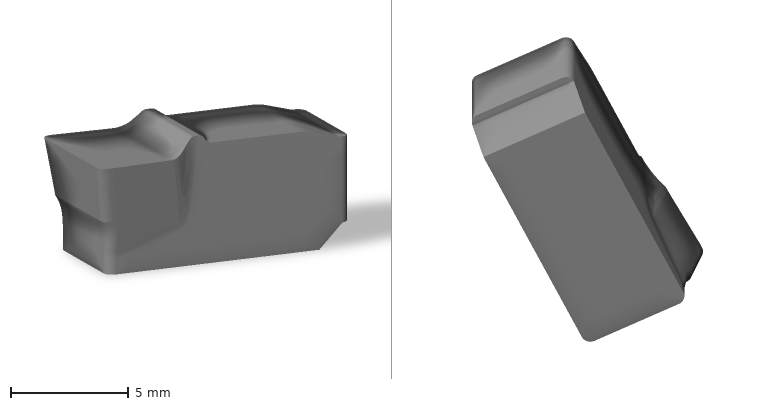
import cadquery as cq
import math


length = 12.0
shank_half_width = 2.41
head_half_width = 3.0
rake_height = 4.89
shank_top_height = 5.32
ridge_height = 5.7
corner_radius = 0.4

rear_foot_height = 1.08
rear_foot_depth = 0.35
rear_flat_depth = 0.51
rear_ramp_angle = math.radians(15.8)
rear_ramp_radius = 2.0
rear_ramp_foot_radius = 0.2

ridge_front = 4.69
ridge_rear = 4.91
ridge_radius = 0.3
ridge_rear_angle = math.radians(62)
ridge_front_angle = math.radians(45)
rake_blend_radius = 1.0

front_relief = math.tan(math.radians(8))
front_setback = 0.615
undercut_start = 1.48
undercut_radius = 1.7
undercut_angle = math.radians(30)
nose_radius = 0.2
upper_front_bottom = 2.1

land_end = 0.605
land_end_shift = 0.125
land_relief = 0.1455
side_taper = math.tan(math.radians(2.5))
shoulder_y = 3.68
shoulder_shift = 0.15
shoulder_slope = math.tan(math.radians(30))
shoulder_radius = 0.6
shank_blend_radius = 1.0

stock_front = -3.0
stock_bottom = -0.5
stock_top = 6.5
stock_height = stock_top - stock_bottom
head_root_half_width = 1.0
half_cut_width = 2 * head_half_width

near = 0.1


def arc(outline, start, radius, from_heading, to_heading):
    """Append a tangent arc and return (outline, end point); a rising heading bends it leftwards."""
    bend = math.copysign(radius, to_heading - from_heading)

    def point_at(heading):
        return (
            start[0] + bend * (math.sin(heading) - math.sin(from_heading)),
            start[1] - bend * (math.cos(heading) - math.cos(from_heading)),
        )

    end = point_at(to_heading)
    middle = point_at((from_heading + to_heading) / 2)
    return outline.threePointArc(middle, end), end


def add_undercut(outline):
    """Concave undercut of the front, carried on as a straight slope to the rake height."""
    start = (front_setback, undercut_start)
    vertical = math.pi / 2
    outline, end = arc(outline.lineTo(*start), start, undercut_radius, vertical, vertical + undercut_angle)
    overhang = (rake_height - end[1]) * math.tan(undercut_angle)
    return outline.lineTo(end[0] - overhang, rake_height)


def add_ridge_front(outline):
    """Rake face, concave blend and slope up to the ridge."""
    angle = ridge_front_angle
    radius_sum = rake_blend_radius + ridge_radius
    slope_rise = ridge_height - rake_height - radius_sum * (1 - math.cos(angle))
    slope_run = slope_rise / math.tan(angle)
    start = (ridge_front - radius_sum * math.sin(angle) - slope_run, rake_height)
    outline, end = arc(outline.lineTo(*start), start, rake_blend_radius, 0, angle)
    slope_end = (end[0] + slope_run, end[1] + slope_rise)
    outline, end = arc(outline.lineTo(*slope_end), slope_end, ridge_radius, angle, 0)
    return outline


def add_ridge_rear(outline):
    """Ridge crest and its steep rear side down to the shank top."""
    angle = ridge_rear_angle
    start = (ridge_rear, ridge_height)
    outline, end = arc(outline.lineTo(*start), start, ridge_radius, 0, -angle)
    slope_drop = ridge_height - shank_top_height - 2 * ridge_radius * (1 - math.cos(angle))
    slope_end = (end[0] + slope_drop / math.tan(angle), end[1] - slope_drop)
    outline, end = arc(outline.lineTo(*slope_end), slope_end, ridge_radius, -angle, 0)
    return outline


def add_rear_end(outline):
    """Shank top, ramp down to the rear flat, rear wall, foot and underside chamfer."""
    angle = rear_ramp_angle
    ramp_end = length - rear_flat_depth
    ramp_start = ramp_end - (shank_top_height - rake_height) / math.tan(angle)
    start = (ramp_start - rear_ramp_radius * math.tan(angle / 2), shank_top_height)
    outline, end = arc(outline.lineTo(*start), start, rear_ramp_radius, 0, -angle)
    foot_tangent = rear_ramp_foot_radius * math.tan(angle / 2)
    foot = (ramp_end - foot_tangent * math.cos(angle), rake_height + foot_tangent * math.sin(angle))
    outline, end = arc(outline.lineTo(*foot), foot, rear_ramp_foot_radius, -angle, 0)
    outline = outline.lineTo(length, rake_height).lineTo(length, rear_foot_height)
    chamfer_start = length - rear_foot_depth
    return outline.lineTo(chamfer_start, rear_foot_height).lineTo(chamfer_start - rear_foot_height, 0)


def side_profile():
    """Solid with the side outline of the insert, wider than the head."""
    outline = cq.Workplane("YZ").moveTo(front_setback, 0)
    for add_stretch in (add_undercut, add_ridge_front, add_ridge_rear, add_rear_end):
        outline = add_stretch(outline)
    return outline.close().extrude(half_cut_width, both=True)


def shoulder_corner(z):
    """Point on the +X side where the tapered flank meets the shoulder at height z."""
    depth = rake_height - z
    land_x = head_half_width - land_relief * depth
    y = shoulder_y + shoulder_shift * depth
    return land_x - side_taper * (y - land_end - land_end_shift * depth), y


def head_section(z):
    """Plan outline of the head at height z: lands, tapered flanks and shoulders."""
    depth = rake_height - z
    land_x = head_half_width - land_relief * depth
    corner_x, corner_y = shoulder_corner(z)
    root_y = corner_y + (corner_x - head_root_half_width) / shoulder_slope
    right_side = [
        (land_x, stock_front),
        (land_x, land_end + land_end_shift * depth),
        (corner_x, corner_y),
        (head_root_half_width, root_y),
    ]
    left_side = [(-x, y) for x, y in reversed(right_side)]
    return cq.Wire.makePolygon([cq.Vector(x, y, z) for x, y in right_side + left_side], close=True)


def fillet_both_sides(body, low, high, radius):
    """Fillet the edges whose midpoints lie in the box low-high, given for +X, and in its mirror image."""
    right_box = cq.selectors.BoxSelector(low, high)
    left_box = cq.selectors.BoxSelector((-high[0], low[1], low[2]), (-low[0], high[1], high[2]))
    return body.edges(right_box + left_box).fillet(radius)


def head():
    """Drafted head with rounded shoulders."""
    sections = [head_section(stock_bottom), head_section(stock_top)]
    body = cq.Workplane(cq.Solid.makeLoft(sections, True))
    mid_z = (stock_bottom + stock_top) / 2
    x, y = shoulder_corner(mid_z)
    low = (x - near, y - near, mid_z - near)
    high = (x + near, y + near, mid_z + near)
    return fillet_both_sides(body, low, high, shoulder_radius)


def blended_stock():
    """Shank and head joined, with a concave blend where the head leaves the shank sides."""
    shank = cq.Workplane("XY").box(
        2 * shank_half_width, length - stock_front, stock_height, centered=(True, False, False)
    )
    body = shank.translate((0, stock_front, stock_bottom)).union(head())
    low = (shank_half_width - near, stock_front + near, stock_bottom + near)
    high = (shank_half_width + near, length / 2, stock_top - near)
    return fillet_both_sides(body, low, high, shank_blend_radius)


def undercut_body(stock):
    """Stock cut to the side outline, with the corners of its undercut front rounded."""
    body = stock.intersect(side_profile())
    low = (shank_half_width - near, stock_front, near)
    high = (head_half_width, front_setback + near, rake_height - near)
    return fillet_both_sides(body, low, high, corner_radius)


def upper_front_body(stock):
    """Stock with the drafted upper front face cut on it and the corners of that face rounded."""
    face_bottom = (front_relief * (rake_height - upper_front_bottom), upper_front_bottom)
    face_top = (front_relief * (rake_height - stock_top), stock_top)
    outline = [(stock_front, upper_front_bottom), face_bottom, face_top, (stock_front, stock_top)]
    body = stock.cut(cq.Workplane("YZ").polyline(outline).close().extrude(half_cut_width, both=True))
    mid_y = (face_bottom[0] + face_top[0]) / 2
    mid_z = (upper_front_bottom + stock_top) / 2
    low = (shank_half_width, mid_y - near, mid_z - near)
    high = (half_cut_width, mid_y + near, mid_z + near)
    return fillet_both_sides(body, low, high, corner_radius)


def round_nose(body):
    """Round the edge between the upper front face and the undercut, right around the corners."""
    low = (-near, 0, upper_front_bottom)
    high = (near, front_setback, rake_height - near)
    front_edges = body.edges("|X").edges(cq.selectors.BoxSelector(low, high))
    return front_edges.edges(">Z").fillet(nose_radius)


def round_rear_corners(body):
    return body.faces(">Y").edges("|Z").fillet(corner_radius)


stock = blended_stock()
insert = undercut_body(stock).intersect(upper_front_body(stock))
result = round_rear_corners(round_nose(insert))